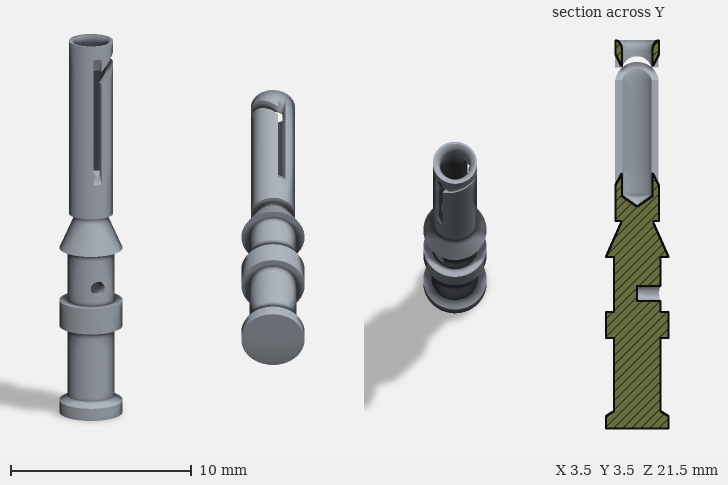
import cadquery as cq
import math

flange_dia = 3.5
barrel_dia = 2.6
waist_dia = 2.58
neck_dia = 1.8
sleeve_dia = 2.45

foot_rim_top = 0.7
foot_top = 0.99
collar_bottom = 5.0
collar_top = 6.5
cone_bottom = 9.5
cone_top = 11.42
sleeve_bottom = 11.5
total_height = 21.5

bore_dia = 1.68
mouth_dia = 2.21
mouth_depth = 0.5
bore_floor = 12.9
drill_point_angle = 110.0

slot_width = 0.45
slot_inner_bottom = 14.21
slot_inner_top = 20.0
slot_end_flare = 0.75

slit_width = 0.5
slit_angle = 45.0

inspection_dia = 0.8
inspection_height = 7.5

flange_r = flange_dia / 2
barrel_r = barrel_dia / 2
waist_r = waist_dia / 2
neck_r = neck_dia / 2
sleeve_r = sleeve_dia / 2
bore_r = bore_dia / 2
mouth_r = mouth_dia / 2


def turned_body():
    """Solid of revolution carrying every outer step."""
    outline = [
        (0, 0),
        (flange_r, 0),
        (flange_r, foot_rim_top),
        (barrel_r, foot_top),
        (barrel_r, collar_bottom),
        (flange_r, collar_bottom),
        (flange_r, collar_top),
        (waist_r, collar_top),
        (waist_r, cone_bottom),
        (flange_r, cone_bottom),
        (neck_r, cone_top),
        (neck_r, sleeve_bottom),
        (sleeve_r, sleeve_bottom),
        (sleeve_r, total_height),
        (0, total_height),
    ]
    return cq.Workplane("XZ").polyline(outline).close().revolve(360, (0, 0), (0, 1))


def bore():
    """Bore whose mouth widens along an arc tangent to the bore wall."""
    point_depth = bore_r / math.tan(math.radians(drill_point_angle / 2))
    mouth_bottom = total_height - mouth_depth
    return (
        cq.Workplane("XZ")
        .moveTo(0, bore_floor - point_depth)
        .lineTo(bore_r, bore_floor)
        .lineTo(bore_r, mouth_bottom)
        .tangentArcPoint((mouth_r, total_height), relative=False)
        .lineTo(0, total_height)
        .close()
        .revolve(360, (0, 0), (0, 1))
    )


def slot():
    """Slot along X: straight inside the bore, longer at the outer surface."""
    outer_bottom = slot_inner_bottom - slot_end_flare
    outer_top = slot_inner_top + slot_end_flare
    outline = [
        (-sleeve_r, outer_bottom),
        (-bore_r, slot_inner_bottom),
        (bore_r, slot_inner_bottom),
        (sleeve_r, outer_bottom),
        (sleeve_r, outer_top),
        (bore_r, slot_inner_top),
        (-bore_r, slot_inner_top),
        (-sleeve_r, outer_top),
    ]
    return cq.Workplane("XZ").polyline(outline).close().extrude(slot_width / 2, both=True)


def slit():
    """Slanted slit along X, rising from the slot's +Y edge to the outside."""
    slope = math.tan(math.radians(slit_angle))
    slit_height = slit_width / math.cos(math.radians(slit_angle))
    y_start = slot_width / 2
    rise = (sleeve_r - y_start) * slope
    outline = [
        (y_start, slot_inner_top),
        (sleeve_r, slot_inner_top + rise),
        (sleeve_r, slot_inner_top + rise - slit_height),
        (y_start, slot_inner_top - slit_height),
    ]
    return cq.Workplane("YZ").polyline(outline).close().extrude(sleeve_r, both=True)


def inspection_hole():
    """Radial hole from the +X side to the axis."""
    return (
        cq.Workplane("YZ")
        .center(0, inspection_height)
        .circle(inspection_dia / 2)
        .extrude(waist_r)
    )


result = turned_body()
for cutter in (bore(), slot(), slit(), inspection_hole()):
    result = result.cut(cutter)